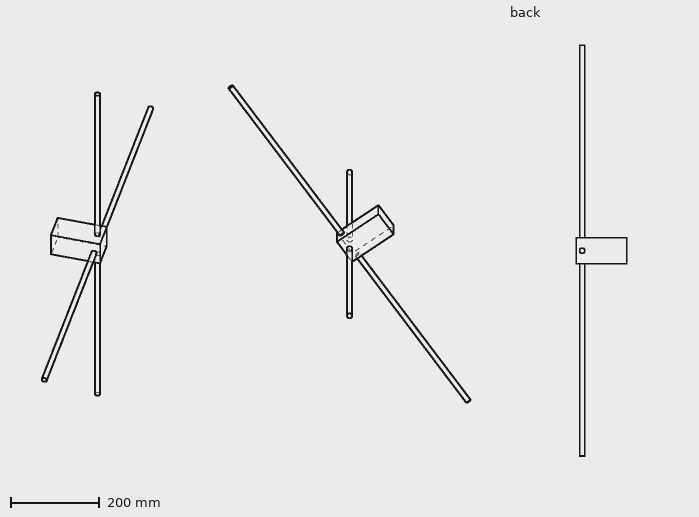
import cadquery as cq

block_length = 115.0
block_side = 59.0

rod_span = 924.0
rod_diameter = 12.0
rod_end_inset = 14.0
rod_count = 4

rod_axis_x = block_length / 2 - rod_end_inset
rod_length = (rod_span - block_side) / 2
rod_spacing_angle = 360 / rod_count


def make_block():
    return cq.Workplane("XY").box(block_length, block_side, block_side)


def make_rod(angle):
    """Rod standing on a block face, turned about the X axis from +Z by the angle."""
    upright_rod = (
        cq.Workplane("XY", origin=(rod_axis_x, 0, block_side / 2))
        .circle(rod_diameter / 2)
        .extrude(rod_length)
    )
    return upright_rod.rotate((0, 0, 0), (1, 0, 0), angle)


block = make_block()
rods = [make_rod(index * rod_spacing_angle) for index in range(rod_count)]

result = cq.Compound.makeCompound([block.val(), *[rod.val() for rod in rods]])